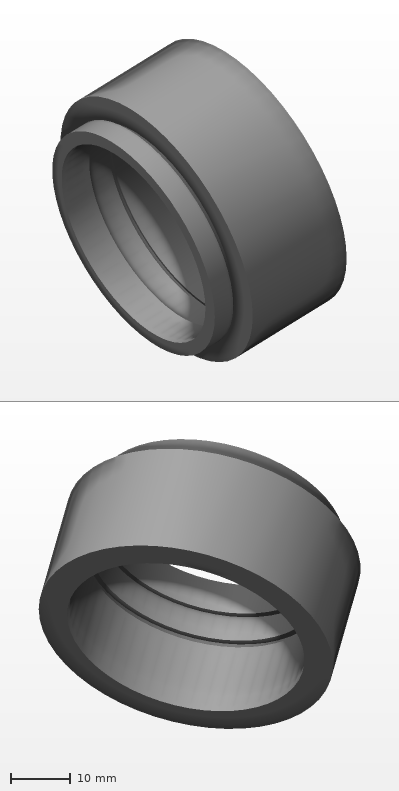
import cadquery as cq

outer_diameter = 50.8
total_length = 25.5

collar_diameter = 43.0
collar_length = 4.0
relief_diameter = 41.0
relief_length = 1.0

entry_diameter = 38.0
entry_length = 6.0
recess_diameter = 40.0
recess_length = 5.0
groove_diameter = 42.0
groove_length = 1.0
rear_diameter = 41.0


def stacked_cylinders(sections):
    """Coaxial cylinders along +Y from the front face, given as (diameter, length)."""
    stack = cq.Workplane("XZ")
    start = 0
    for diameter, length in sections:
        plane = cq.Workplane("XZ", origin=(0, start, 0))
        stack = stack.union(plane.circle(diameter / 2).extrude(-length))
        start += length
    return stack


body_length = total_length - collar_length - relief_length
rear_length = total_length - entry_length - recess_length - groove_length

outside = stacked_cylinders([
    (collar_diameter, collar_length),
    (relief_diameter, relief_length),
    (outer_diameter, body_length),
])

bore = stacked_cylinders([
    (entry_diameter, entry_length),
    (recess_diameter, recess_length),
    (groove_diameter, groove_length),
    (rear_diameter, rear_length),
])

result = outside.cut(bore)